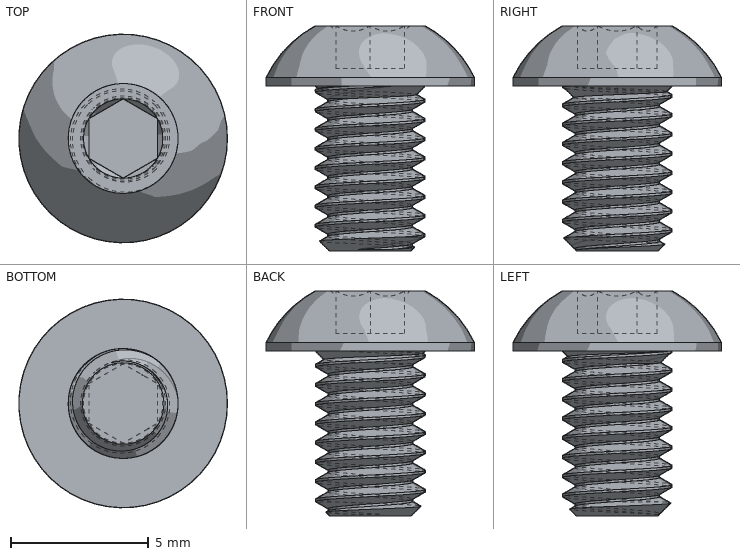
import cadquery as cq
import math

total_height = 8.2
head_diameter = 7.6
head_height = 2.2
rim_height = 0.31
top_flat_diameter = 4.0

thread_diameter = 4.0
full_turns = 7
full_turns_length = 4.9
pitch = full_turns_length / full_turns
thread_flat = pitch / 8
flank_angle = math.radians(30)
thread_phase = 0.57
tip_diameter = 2.97
ridge_overlap = 0.03

socket_across_flats = 2.5
socket_depth = 1.56

head_radius = head_diameter / 2
thread_radius = thread_diameter / 2
top_flat_radius = top_flat_diameter / 2
tip_radius = tip_diameter / 2
thread_depth = (pitch - 2 * thread_flat) / 2 / math.tan(flank_angle)
root_radius = thread_radius - thread_depth
shank_length = total_height - head_height
rim_top = shank_length + rim_height
socket_corner_diameter = socket_across_flats / math.cos(math.radians(30))


def make_head():
    """Revolve the head: a short rim below a dome centred on the axis, with a flat top."""
    centre_z = (
        (top_flat_radius**2 + total_height**2 - head_radius**2 - rim_top**2)
        / (2 * (total_height - rim_top))
    )
    dome_radius = math.hypot(head_radius, rim_top - centre_z)
    mid_radius = (head_radius + top_flat_radius) / 2
    mid_z = centre_z + math.sqrt(dome_radius**2 - mid_radius**2)
    return (
        cq.Workplane("XZ")
        .moveTo(0, shank_length)
        .lineTo(head_radius, shank_length)
        .lineTo(head_radius, rim_top)
        .threePointArc((mid_radius, mid_z), (top_flat_radius, total_height))
        .lineTo(0, total_height)
        .close()
        .revolve(360, (0, 0), (0, 1))
    )


def make_ridge():
    """Right-handed helical ridge that runs past both ends of the shank, its base sunk in the core."""
    overrun_turns = 2
    start_z = thread_phase - overrun_turns * pitch
    helix_height = math.ceil(shank_length / pitch + 2 * overrun_turns) * pitch
    base_radius = root_radius - ridge_overlap
    crest_half = thread_flat / 2
    base_half = crest_half + (thread_depth + ridge_overlap) * math.tan(flank_angle)
    corners = [
        (base_radius, start_z - base_half),
        (thread_radius, start_z - crest_half),
        (thread_radius, start_z + crest_half),
        (base_radius, start_z + base_half),
    ]
    helices = [
        cq.Wire.makeHelix(pitch, helix_height, radius, cq.Vector(0, 0, z)) for radius, z in corners
    ]
    faces = []
    for index, helix in enumerate(helices):
        faces += cq.Face.makeRuledSurface(helices[index - 1], helix).Faces()
    for end_height in (0, helix_height):
        points = [cq.Vector(radius, 0, z + end_height) for radius, z in corners]
        faces.append(cq.Face.makeFromWires(cq.Wire.makePolygon(points, close=True)))
    ridge = cq.Solid.makeSolid(cq.Shell.makeShell(faces)).fix()
    return cq.Workplane("XY").newObject([ridge])


def make_envelope():
    """Space the shank may fill: flat ends, a 45 degree cone at the tip, clear of the crests."""
    return (
        cq.Workplane("XZ")
        .lineTo(tip_radius, 0)
        .lineTo(head_radius, head_radius - tip_radius)
        .lineTo(head_radius, shank_length)
        .lineTo(0, shank_length)
        .close()
        .revolve(360, (0, 0), (0, 1))
    )


def make_shank():
    """Threaded shank with a chamfered tip."""
    core_overrun = 4 * pitch
    core = (
        cq.Workplane("XY", origin=(0, 0, -core_overrun))
        .circle(root_radius)
        .extrude(shank_length + 2 * core_overrun)
    )
    return core.union(make_ridge()).intersect(make_envelope())


def make_runout():
    """45 degree cone that closes the thread groove under the head."""
    return (
        cq.Workplane("XZ")
        .moveTo(0, shank_length)
        .lineTo(thread_radius, shank_length)
        .lineTo(0, shank_length - thread_radius)
        .close()
        .revolve(360, (0, 0), (0, 1))
    )


def make_socket():
    """Hexagonal recess, corners on the Y axis, with a 45 degree conical lead-in."""
    hexagon = (
        cq.Workplane("XY", origin=(0, 0, total_height - socket_depth))
        .transformed(rotate=(0, 0, 90))
        .polygon(6, socket_corner_diameter)
        .extrude(socket_depth)
    )
    corner_radius = socket_corner_diameter / 2
    lead_in = (
        cq.Workplane("XZ")
        .moveTo(0, total_height)
        .lineTo(corner_radius, total_height)
        .lineTo(0, total_height - corner_radius)
        .close()
        .revolve(360, (0, 0), (0, 1))
    )
    return hexagon.union(lead_in)


shank = make_shank().union(make_runout())
bolt = shank.union(make_head()).cut(make_socket())
result = cq.Workplane("XY").newObject([bolt.solids().val()])